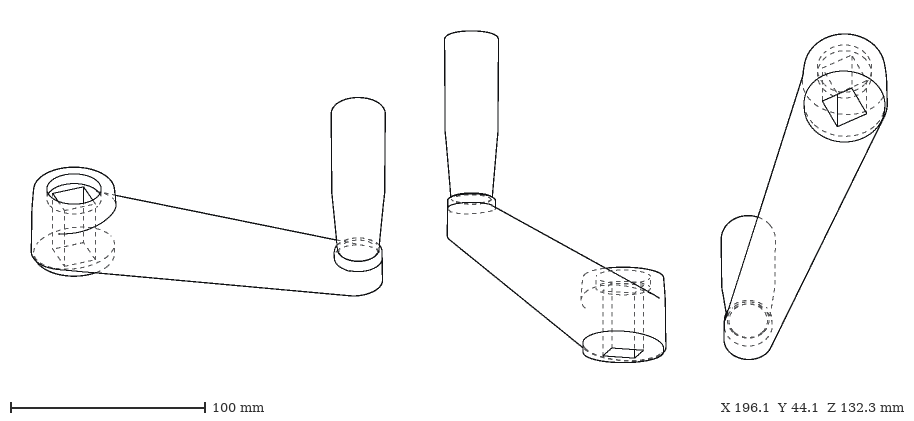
import cadquery as cq
import math

hub_height = 40.5
hub_top_radius = 20.8
hub_collar_radius = 20.8
hub_shoulder_z = 26.6
hub_rim_fillet = 0.8
hub_bulge = 0.12
bore_radius = 14.0
bore_depth = 6.0
square_side = 17.0

arm_length = 160.0
arm_draft = 0.8
arm_hub_radius = 22.14
arm_grip_radius = 12.95
arm_edge_fillet = 0.8
bottom_z_hub = 3.9
bottom_z_grip = 25.3
side_z_hub = hub_shoulder_z
side_z_grip = 41.2
bar_end_margin = 1.0
crown_ratio = 0.125

boss_radius = 12.35
boss_top_z = 45.8
boss_fillet = 0.6
boss_root_depth = 15.0

grip_top_z = 132.26
grip_shoulder_z = 82.3
grip_radius = 14.0
grip_shoulder_radius = 13.7
grip_neck_radius = 10.7
grip_neck_chamfer = 0.8
grip_top_fillet = 1.8


def along_arm(at_hub, at_grip, x):
    """Value at x of a quantity that changes evenly from the hub axis to the grip axis."""
    return at_hub + (at_grip - at_hub) * x / arm_length


side_lean = math.asin((arm_hub_radius - arm_grip_radius) / arm_length)
hub_joint_x = arm_hub_radius * math.sin(side_lean)
hub_joint_y = arm_hub_radius * math.cos(side_lean)
grip_joint_x = arm_length + arm_grip_radius * math.sin(side_lean)
grip_joint_y = arm_grip_radius * math.cos(side_lean)
arm_end_x = arm_length + arm_grip_radius


def make_outline():
    """Arm outline in plan, two round ends joined by tangent lines, drafted upward."""
    return (
        cq.Workplane("XY")
        .moveTo(hub_joint_x, -hub_joint_y)
        .lineTo(grip_joint_x, -grip_joint_y)
        .threePointArc((arm_end_x, 0), (grip_joint_x, grip_joint_y))
        .lineTo(hub_joint_x, hub_joint_y)
        .threePointArc((-arm_hub_radius, 0), (hub_joint_x, -hub_joint_y))
        .close()
        .extrude(boss_top_z, taper=arm_draft)
    )


def bar_section(x):
    """Cross-section of the bar at x, standing on Z = 0 with drafted sides and a crowned top."""
    foot_y = hub_joint_y - (x - hub_joint_x) * math.tan(side_lean)
    side_z = along_arm(side_z_hub, side_z_grip, x)
    edge_y = foot_y - side_z * math.tan(math.radians(arm_draft)) / math.cos(side_lean)
    crown_z = side_z + crown_ratio * edge_y
    wire = (
        cq.Workplane("YZ", origin=(x, 0, 0))
        .moveTo(-foot_y, 0)
        .lineTo(foot_y, 0)
        .lineTo(edge_y, side_z)
        .threePointArc((0, crown_z), (-edge_y, side_z))
        .close()
    )
    return wire.val()


def make_bar():
    """Crowned bar between the two round ends, rounded along its top edges."""
    sections = [bar_section(hub_joint_x), bar_section(grip_joint_x)]
    bar = cq.Workplane(cq.Solid.makeLoft(sections, True))
    near_hub = (hub_joint_x + bar_end_margin, -arm_hub_radius, side_z_hub)
    near_grip = (grip_joint_x - bar_end_margin, arm_hub_radius, boss_top_z)
    top_edges = bar.edges(cq.selectors.BoxSelector(near_hub, near_grip))
    return top_edges.fillet(arm_edge_fillet)


def make_underside_cutter():
    """Wedge below the sloping underside of the arm."""
    start_x = -2 * arm_hub_radius
    end_x = arm_end_x + arm_grip_radius
    start_z = along_arm(bottom_z_hub, bottom_z_grip, start_x)
    end_z = along_arm(bottom_z_hub, bottom_z_grip, end_x)
    return (
        cq.Workplane("XZ")
        .polyline([(start_x, start_z), (end_x, end_z), (end_x, -end_z), (start_x, -end_z)])
        .close()
        .extrude(2 * arm_hub_radius, both=True)
    )


def make_end_block(start_x, end_x, top_z):
    """Block that trims a round arm end to a level top."""
    width = 3 * arm_hub_radius
    middle_x = (start_x + end_x) / 2
    return cq.Workplane("XY", origin=(middle_x, 0, 0)).rect(end_x - start_x, width).extrude(top_z)


def make_arm_blank():
    """Arm outline over the sloping underside, with the lower edge rounded all around."""
    blank = make_outline().cut(make_underside_cutter())
    underside_direction = cq.Vector(bottom_z_grip - bottom_z_hub, 0, -arm_length)
    underside = blank.faces(cq.selectors.ParallelDirSelector(underside_direction))
    return underside.edges().fillet(arm_edge_fillet)


def make_arm():
    """Arm blank trimmed to a crowned bar between two level round ends."""
    blank = make_arm_blank()
    hub_end = blank.intersect(make_end_block(-2 * arm_hub_radius, hub_joint_x, side_z_hub))
    grip_end = blank.intersect(make_end_block(grip_joint_x, 2 * arm_length, side_z_grip))
    return blank.intersect(make_bar()).union(hub_end).union(grip_end)


def make_hub():
    """Collar below the arm and the narrowing, slightly bulged upper hub."""
    shoulder_radius = arm_hub_radius - hub_shoulder_z * math.tan(math.radians(arm_draft))
    middle_radius = (shoulder_radius + hub_top_radius) / 2 + hub_bulge
    middle_z = (hub_shoulder_z + hub_height) / 2
    collar = cq.Workplane("XY").circle(hub_collar_radius).extrude(hub_height / 2)
    upper = (
        cq.Workplane("XZ")
        .moveTo(0, hub_height / 2)
        .lineTo(hub_collar_radius, hub_height / 2)
        .lineTo(shoulder_radius, hub_shoulder_z)
        .threePointArc((middle_radius, middle_z), (hub_top_radius, hub_height))
        .lineTo(0, hub_height)
        .close()
        .revolve(360, (0, 0), (0, 1))
    )
    return collar.union(upper).faces(">Z or <Z").edges().fillet(hub_rim_fillet)


def make_boss():
    """Round seat for the grip at the end of the arm."""
    return (
        cq.Workplane("XY", origin=(arm_length, 0, boss_top_z - boss_root_depth))
        .circle(boss_radius)
        .extrude(boss_root_depth)
        .faces(">Z")
        .edges()
        .fillet(boss_fillet)
    )


def make_grip():
    """Turned handle: chamfered neck, widening cone, slightly tapered barrel, rounded top."""
    profile = (
        cq.Workplane("XZ", origin=(arm_length, 0, 0))
        .moveTo(0, boss_top_z)
        .lineTo(grip_neck_radius - grip_neck_chamfer, boss_top_z)
        .lineTo(grip_neck_radius, boss_top_z + grip_neck_chamfer)
        .lineTo(grip_shoulder_radius, grip_shoulder_z)
        .lineTo(grip_radius, grip_top_z - grip_top_fillet)
        .lineTo(grip_radius, grip_top_z)
        .lineTo(0, grip_top_z)
        .close()
    )
    return profile.revolve(360, (0, 0), (0, 1)).faces(">Z").edges().fillet(grip_top_fillet)


def cut_hub_openings(body):
    """Round counterbore over a square through hole set corner to corner with X."""
    bore_floor_z = hub_height - bore_depth
    bore = cq.Workplane("XY", origin=(0, 0, bore_floor_z)).circle(bore_radius).extrude(bore_depth)
    square = cq.Workplane("XY").rect(square_side, square_side).extrude(hub_height)
    diagonal_square = square.rotate((0, 0, 0), (0, 0, 1), 45)
    return body.cut(bore).cut(diagonal_square)


body = make_hub().union(make_arm()).union(make_boss()).union(make_grip())
result = cut_hub_openings(body)